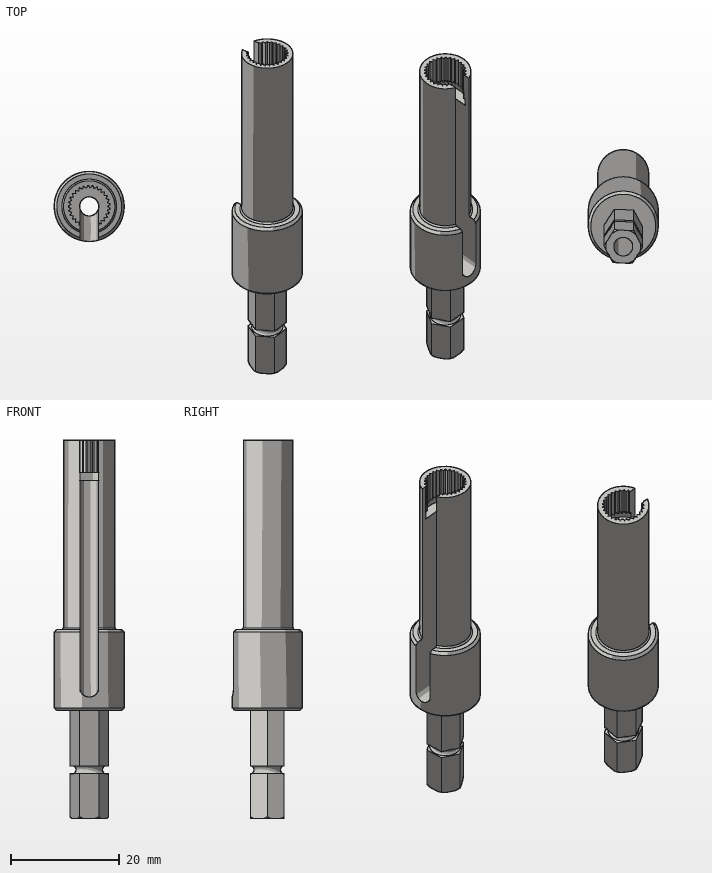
import cadquery as cq
import math

total_length = 70.0
collar_bottom = 20.0
collar_height = 15.0
collar_top = collar_bottom + collar_height

collar_diameter = 13.0
collar_chamfer = 0.5
tube_diameter = 9.5
tube_base_chamfer = 0.3
hex_across_flats = 6.2
hex_across_corners = hex_across_flats / math.cos(math.pi / 6)
hex_tip_chamfer = 0.35

groove_height = 1.4
groove_center_z = 9.05
groove_floor_diameter = 4.95
groove_floor_depth = 0.4

bore_diameter = 3.5
slot_bottom = 22.5

serration_count = 29
serration_tip_diameter = 6.85
serration_root_diameter = 7.75
serration_depth = 6.0
socket_depth = 7.5


def make_shank():
    """Hexagonal shank, corners on the X axis, with its tip corners chamfered."""
    shank = cq.Workplane("XY").polygon(6, hex_across_corners).extrude(collar_bottom)
    corner_cone = (
        cq.Workplane("XY")
        .circle(hex_across_corners / 2)
        .extrude(collar_bottom)
        .faces("<Z")
        .chamfer(hex_tip_chamfer)
    )
    return shank.intersect(corner_cone)


def make_groove():
    """Ring that cuts the groove: flat sides and a hollow arc floor."""
    floor_radius = groove_floor_diameter / 2
    edge_radius = floor_radius + groove_floor_depth
    outer_radius = hex_across_corners / 2 + groove_height
    low = groove_center_z - groove_height / 2
    high = groove_center_z + groove_height / 2
    return (
        cq.Workplane("XZ")
        .moveTo(outer_radius, low)
        .lineTo(edge_radius, low)
        .threePointArc((floor_radius, groove_center_z), (edge_radius, high))
        .lineTo(outer_radius, high)
        .close()
        .revolve(360, (0, 0, 0), (0, 1, 0))
    )


def make_collar():
    """Round collar, chamfered at both ends."""
    return (
        cq.Workplane("XY")
        .workplane(offset=collar_bottom)
        .circle(collar_diameter / 2)
        .extrude(collar_height)
        .faces("<Z or >Z")
        .chamfer(collar_chamfer)
    )


def make_tube():
    """Round tube body with a small cone where it meets the collar."""
    tube_radius = tube_diameter / 2
    tube = (
        cq.Workplane("XY")
        .workplane(offset=collar_top)
        .circle(tube_radius)
        .extrude(total_length - collar_top)
    )
    base_cone = cq.Solid.makeCone(
        tube_radius + tube_base_chamfer, tube_radius, tube_base_chamfer, pnt=cq.Vector(0, 0, collar_top)
    )
    return tube.union(cq.Workplane(base_cone))


def make_slot():
    """Side slot open toward -Y and at the top, with a round lower end."""
    slot_radius = bore_diameter / 2
    round_center_z = slot_bottom + slot_radius
    return (
        cq.Workplane("XZ")
        .moveTo(-slot_radius, total_length)
        .lineTo(-slot_radius, round_center_z)
        .threePointArc((0, slot_bottom), (slot_radius, round_center_z))
        .lineTo(slot_radius, total_length)
        .close()
        .extrude(collar_diameter)
    )


def make_socket():
    """Socket cutter: a serrated mouth with one root on -X, above a short plain relief."""
    points = []
    for index in range(2 * serration_count):
        diameter = serration_root_diameter if index % 2 == 0 else serration_tip_diameter
        angle = math.pi + math.pi * index / serration_count
        points.append((diameter / 2 * math.cos(angle), diameter / 2 * math.sin(angle)))
    serrations = (
        cq.Workplane("XY")
        .workplane(offset=total_length - serration_depth)
        .polyline(points)
        .close()
        .extrude(serration_depth)
    )
    relief = (
        cq.Workplane("XY")
        .workplane(offset=total_length - socket_depth)
        .circle(serration_root_diameter / 2)
        .extrude(socket_depth - serration_depth)
    )
    return serrations.union(relief)


bore = cq.Workplane("XY").circle(bore_diameter / 2).extrude(total_length)

result = (
    make_shank()
    .cut(make_groove())
    .union(make_collar())
    .union(make_tube())
    .cut(bore)
    .cut(make_slot())
    .cut(make_socket())
)